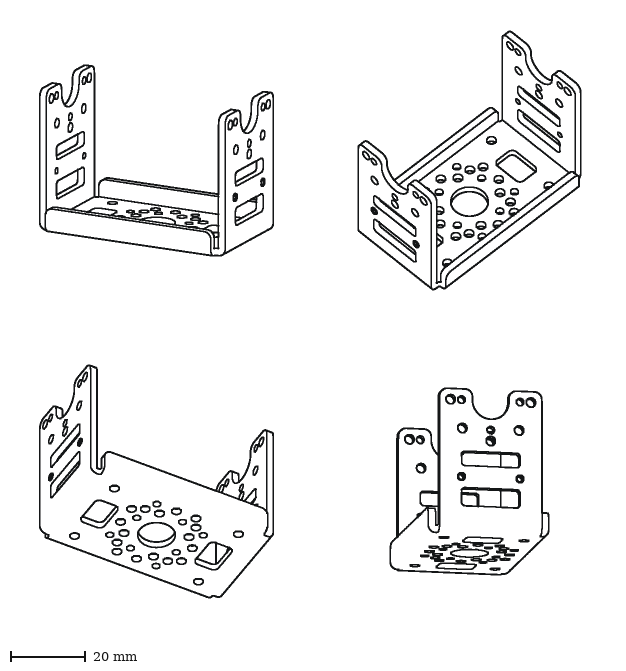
import cadquery as cq
import math

LENGTH = 56.0
WIDTH = 33.0
HEIGHT = 39.0
SHEET = 2.0

WALL_WIDTH = 28.0
WALL_PIVOT_Z = 36.0
WALL_SHOULDER_RADIUS = 10.0
NOTCH_RADIUS = 10.0 / 2
TOP_CORNER_RADIUS = 2.0

FLANGE_LENGTH = 49.95
FLANGE_HEIGHT = 7.0
FLANGE_CORNER_RADIUS = 2.0

LARGE_HOLE = 2.5
INNER_HOLE = 2.6
SMALL_HOLE = 2.0
BORE = 10.0

BASE_SLEEVE_BORE = 2.1
BASE_SLEEVE_OUTER = 2.5
WALL_SLEEVE_BORE = 1.6
WALL_SLEEVE_OUTER = 2.1
WALL_SLEEVE_RECESS = 0.3

LARGE_PITCH_RADIUS = 11.0
SMALL_PITCH_RADIUS = 8.0
EDGE_HOLE_OFFSET = 6.0
INNER_HOLE_OFFSET = 3.5
INNER_HOLE_DISTANCE = 8.0
MOUNT_HOLE_X = 19.0
WALL_SLEEVE_Y = 8.0
WALL_SLEEVE_Z = 15.0

BASE_WINDOW_X = 17.5
BASE_WINDOW_LENGTH = 7.0
BASE_WINDOW_WIDTH = 10.0
BASE_WINDOW_RADIUS = 1.5
WALL_WINDOW_WIDTH = 16.0
WALL_WINDOW_RADIUS = 1.0
WALL_WINDOWS = [(20.0, 4.0), (9.5, 5.0)]

INNER_X = LENGTH / 2 - SHEET
INNER_Y = WIDTH / 2 - SHEET


def base_plate():
    """Flat floor whose corners step from wall width to flange length through concave arcs."""
    step = INNER_Y - WALL_WIDTH / 2
    corner_x = FLANGE_LENGTH / 2 + step
    floor = cq.Workplane("XY").rect(2 * INNER_X, WALL_WIDTH).extrude(SHEET)
    strips = cq.Workplane("XY").rect(2 * corner_x, 2 * INNER_Y).extrude(SHEET)
    corners = [(sx * corner_x, sy * INNER_Y) for sx in (-1, 1) for sy in (-1, 1)]
    reliefs = cq.Workplane("XY").pushPoints(corners).circle(step).extrude(SHEET)
    return floor.union(strips.cut(reliefs))


def bent_strip(plane, inner, height, length):
    """Upright strip whose inner face is at `inner` and whose foot curves in to the floor."""
    sag = SHEET * math.sqrt(0.5)
    return (
        cq.Workplane(plane)
        .moveTo(inner, 0)
        .threePointArc((inner + sag, SHEET - sag), (inner + SHEET, SHEET))
        .lineTo(inner + SHEET, height)
        .lineTo(inner, height)
        .close()
        .extrude(length / 2, both=True)
    )


def wall_outline():
    """Notched face of an end wall, extruded through the whole +X half of the part."""
    half = WALL_WIDTH / 2
    rise = HEIGHT - WALL_PIVOT_Z

    def shoulder_y(height):
        return half - WALL_SHOULDER_RADIUS + math.sqrt(WALL_SHOULDER_RADIUS**2 - height**2)

    top_y = shoulder_y(rise)
    middle_y = shoulder_y(rise / 2)
    middle_z = WALL_PIVOT_Z + rise / 2
    blank = (
        cq.Workplane("YZ")
        .moveTo(-half, 0)
        .lineTo(half, 0)
        .lineTo(half, WALL_PIVOT_Z)
        .threePointArc((middle_y, middle_z), (top_y, HEIGHT))
        .lineTo(NOTCH_RADIUS, HEIGHT)
        .lineTo(NOTCH_RADIUS, WALL_PIVOT_Z)
        .threePointArc((0, WALL_PIVOT_Z - NOTCH_RADIUS), (-NOTCH_RADIUS, WALL_PIVOT_Z))
        .lineTo(-NOTCH_RADIUS, HEIGHT)
        .lineTo(-top_y, HEIGHT)
        .threePointArc((-middle_y, middle_z), (-half, WALL_PIVOT_Z))
        .close()
        .extrude(LENGTH / 2)
    )
    return blank.faces(">Z").edges("|X").fillet(TOP_CORNER_RADIUS)


def end_wall():
    """Wall at the +X end: the bent strip trimmed to the notched outline."""
    strip = bent_strip("XZ", INNER_X, HEIGHT, WALL_WIDTH)
    return strip.intersect(wall_outline())


def side_flange():
    """Flange at the +Y side, with both top corners rounded."""
    strip = bent_strip("YZ", INNER_Y, FLANGE_HEIGHT, FLANGE_LENGTH)
    return strip.faces(">Z").edges("|Y").fillet(FLANGE_CORNER_RADIUS)


def quarter_turns(x, y):
    """The point (x, y) and its copies turned by 90, 180 and 270 degrees."""
    return [(x, y), (-y, x), (-x, -y), (y, -x)]


def holes(plane, points, diameter, reach):
    """Straight drills through both sides of the given plane."""
    return cq.Workplane(plane).pushPoints(points).circle(diameter / 2).extrude(reach, both=True)


BASE_SLEEVE_POINTS = quarter_turns(EDGE_HOLE_OFFSET, LARGE_PITCH_RADIUS)
BASE_SLEEVE_POINTS += quarter_turns(-INNER_HOLE_OFFSET, INNER_HOLE_DISTANCE)
WALL_SLEEVE_POINTS = [(side * WALL_SLEEVE_Y, WALL_SLEEVE_Z) for side in (-1, 1)]


def drill_base(body):
    """Cut the central bore, the hole rings, the mounting holes and the windows of the floor."""
    ring = quarter_turns(0, LARGE_PITCH_RADIUS)
    ring += quarter_turns(-EDGE_HOLE_OFFSET, LARGE_PITCH_RADIUS)
    diagonal = LARGE_PITCH_RADIUS * math.sqrt(0.5)
    ring += quarter_turns(diagonal, diagonal)
    mounts = [(sx * MOUNT_HOLE_X, sy * LARGE_PITCH_RADIUS) for sx in (-1, 1) for sy in (-1, 1)]
    inner = quarter_turns(INNER_HOLE_OFFSET, INNER_HOLE_DISTANCE)
    body = body.cut(holes("XY", [(0, 0)], BORE, SHEET))
    body = body.cut(holes("XY", ring + mounts, LARGE_HOLE, SHEET))
    body = body.cut(holes("XY", BASE_SLEEVE_POINTS, BASE_SLEEVE_OUTER, SHEET))
    body = body.cut(holes("XY", inner, INNER_HOLE, SHEET))

    window = (
        cq.Workplane("XY")
        .rect(BASE_WINDOW_LENGTH, BASE_WINDOW_WIDTH)
        .extrude(SHEET)
        .edges("|Z")
        .fillet(BASE_WINDOW_RADIUS)
    )
    for side in (-1, 1):
        body = body.cut(window.translate((side * BASE_WINDOW_X, 0, 0)))
    return body


def drill_walls(body):
    """Cut the holes and windows that go straight through both end walls."""

    def around_pivot(radius, angles):
        return [
            (
                radius * math.cos(math.radians(angle)),
                WALL_PIVOT_Z + radius * math.sin(math.radians(angle)),
            )
            for angle in angles
        ]

    large = around_pivot(LARGE_PITCH_RADIUS, (0, -45, -90, -135, -180))
    small = around_pivot(SMALL_PITCH_RADIUS, (0, -90, -180))
    body = body.cut(holes("YZ", large, LARGE_HOLE, LENGTH))
    body = body.cut(holes("YZ", small, SMALL_HOLE, LENGTH))
    body = body.cut(holes("YZ", WALL_SLEEVE_POINTS, WALL_SLEEVE_OUTER, LENGTH))

    for centre_z, window_height in WALL_WINDOWS:
        window = (
            cq.Workplane("YZ", origin=(0, 0, centre_z))
            .rect(WALL_WINDOW_WIDTH, window_height)
            .extrude(LENGTH, both=True)
            .edges("|X")
            .fillet(WALL_WINDOW_RADIUS)
        )
        body = body.cut(window)
    return body


def sleeves(plane, points, outer, bore, length):
    """Tubes standing on a plane, one at each point."""
    return cq.Workplane(plane).pushPoints(points).circle(outer / 2).circle(bore / 2).extrude(length)


def add_sleeves(body):
    """Line the sleeve holes, keeping each sleeve end as its own face on the sheet."""
    base_sleeves = sleeves("XY", BASE_SLEEVE_POINTS, BASE_SLEEVE_OUTER, BASE_SLEEVE_BORE, SHEET)
    body = body.union(base_sleeves, clean=False)

    sleeve_length = SHEET - WALL_SLEEVE_RECESS
    wall_sleeves = sleeves(
        "YZ", WALL_SLEEVE_POINTS, WALL_SLEEVE_OUTER, WALL_SLEEVE_BORE, sleeve_length
    ).translate((INNER_X, 0, 0))
    for part in (wall_sleeves, wall_sleeves.mirror("YZ")):
        body = body.union(part, clean=False)
    return body


wall = end_wall()
flange = side_flange()
bracket = base_plate().union(wall).union(wall.mirror("YZ"))
bracket = bracket.union(flange).union(flange.mirror("XZ"))
result = add_sleeves(drill_walls(drill_base(bracket)))